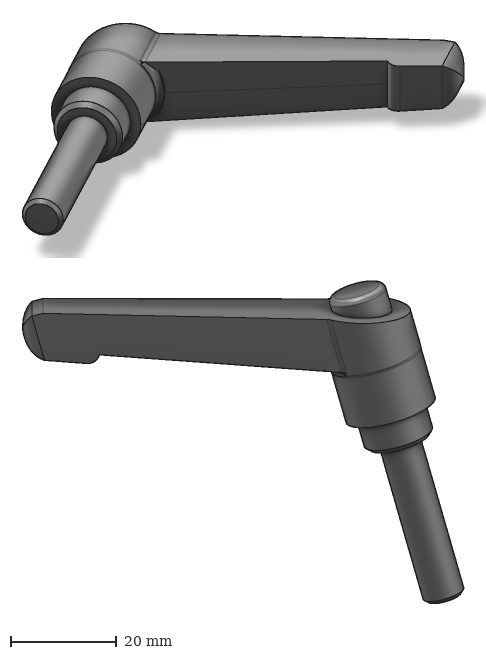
import cadquery as cq
import math


hub_radius = 8.85
hub_step = 0.1
hub_step_start = 10.2
hub_step_end = 10.7
collar_radius = 6.7
collar_length = 6.4
collar_chamfer = 0.9
stud_radius = 4.0
stud_end = -38.45
stud_chamfer = 0.75
cap_radius = 5.5
cap_top = 24.5
cap_fillet = 1.1

top_left = 18.0
top_slope = 0.288
arm_top = 37.25

root_half_width = 6.8
side_slope = 0.035
grip_x = 49.8
grip_y = 26.6
edge_slope = 0.347
ridge_slope = 0.361
side_fillet = 1.5
underside_fillet = 1.9

grip_radius = 2.3
grip_end_x = 52.5
grip_end_y = 25.5
tip_x = 60.1
tip_bottom = 28.15
tip_end = 63.0


def top_height(x):
    return top_left + top_slope * (x + hub_radius)


def half_width(x):
    return root_half_width - side_slope * x


def cylinder(radius, start, end):
    """Solid cylinder on the Y axis."""
    return cq.Workplane("XZ", origin=(0, start, 0)).circle(radius).extrude(start - end)


def below_top(start_x, end_x):
    """Block under the sloping upper face."""
    return (
        cq.Workplane("XY", origin=(0, 0, -hub_radius))
        .moveTo(start_x, 0)
        .lineTo(end_x, 0)
        .lineTo(end_x, top_height(end_x))
        .lineTo(start_x, top_height(start_x))
        .close()
        .extrude(2 * hub_radius)
    )


def ridge_height(x):
    return grip_y - ridge_slope * (grip_x - x)


def arm_section(x):
    """Oversized arm section, with its lowest corner on the central ridge."""
    side = half_width(x)
    edge = grip_y - edge_slope * (grip_x - x)
    ridge = ridge_height(x)
    outer = 2 * side
    outer_edge = 2 * edge - ridge
    corners = [(arm_top, outer), (outer_edge, outer), (ridge, 0), (outer_edge, -outer), (arm_top, -outer)]
    return cq.Wire.makePolygon([cq.Vector(x, y, z) for y, z in corners], close=True)


def make_hub():
    """Hub, very slightly wider above a short conical step."""
    lower_radius = hub_radius - hub_step
    hub = (
        cq.Workplane("XY")
        .lineTo(lower_radius, 0)
        .lineTo(lower_radius, hub_step_start)
        .lineTo(hub_radius, hub_step_end)
        .lineTo(hub_radius, top_height(hub_radius))
        .lineTo(0, top_height(hub_radius))
        .close()
        .revolve(360, (0, 0, 0), (0, 1, 0))
    )
    return hub.intersect(below_top(-hub_radius, hub_radius))


def arm_plan():
    """Plan outline of the arm between hub axis and grip, raised along Y."""
    corners = [
        (0, -half_width(0)),
        (grip_x, -half_width(grip_x)),
        (grip_x, half_width(grip_x)),
        (0, half_width(0)),
    ]
    return cq.Workplane("XZ").polyline(corners).close().extrude(-arm_top)


def make_arm():
    """Arm from the hub axis to the grip, with converging flat sides."""
    ridged = cq.Workplane(cq.Solid.makeLoft([arm_section(0), arm_section(grip_x)], True))
    return ridged.intersect(arm_plan()).intersect(below_top(0, grip_x))


def make_underside_fillet():
    """Concave ring around the hub wall, tangent to the wall and the ridge, kept to the arm's width."""
    slope_angle = math.atan(ridge_slope)
    centre_x = hub_radius + underside_fillet
    ridge_y = ridge_height(centre_x)
    centre_y = ridge_y - underside_fillet / math.cos(slope_angle)
    end_x = centre_x - underside_fillet * math.sin(slope_angle)
    end_y = centre_y + underside_fillet * math.cos(slope_angle)
    embed_x = cap_radius
    ring = (
        cq.Workplane("XY")
        .moveTo(hub_radius, centre_y)
        .radiusArc((end_x, end_y), underside_fillet)
        .lineTo(embed_x, end_y)
        .lineTo(embed_x, centre_y)
        .close()
        .revolve(360, (0, 0, 0), (0, 1, 0))
    )
    return ring.intersect(arm_plan())


def make_tip():
    """Grip and tip, rounded both in side profile and in plan."""
    round_start = (arm_top - top_left) / top_slope - hub_radius
    profile = (
        cq.Workplane("XY", origin=(0, 0, -hub_radius))
        .moveTo(grip_x, grip_y)
        .radiusArc((grip_end_x, grip_end_y), -grip_radius)
        .lineTo(tip_x, tip_bottom)
        .threePointArc((tip_end, (tip_bottom + arm_top) / 2), (tip_x, arm_top))
        .lineTo(round_start, arm_top)
        .lineTo(grip_x, top_height(grip_x))
        .close()
        .extrude(2 * hub_radius)
    )
    plan = (
        cq.Workplane("XZ")
        .moveTo(grip_x, -half_width(grip_x))
        .lineTo(tip_x, -half_width(tip_x))
        .threePointArc((tip_end, 0), (tip_x, half_width(tip_x)))
        .lineTo(grip_x, half_width(grip_x))
        .close()
        .extrude(-arm_top)
    )
    return profile.intersect(plan)


def make_fastener():
    collar = cylinder(collar_radius, -collar_length, 0).faces("<Y").chamfer(collar_chamfer)
    stud = cylinder(stud_radius, stud_end, 0).faces("<Y").chamfer(stud_chamfer)
    cap = cylinder(cap_radius, 0, cap_top).faces(">Y").edges().fillet(cap_fillet)
    return collar.union(stud).union(cap)


body = make_hub().union(make_arm())
body = (
    body.edges("|Y")
    .filter(lambda edge: edge.Center().x < hub_radius and abs(edge.Center().z) > hub_radius / 2)
    .fillet(side_fillet)
)
result = body.union(make_underside_fillet()).union(make_tip()).union(make_fastener())